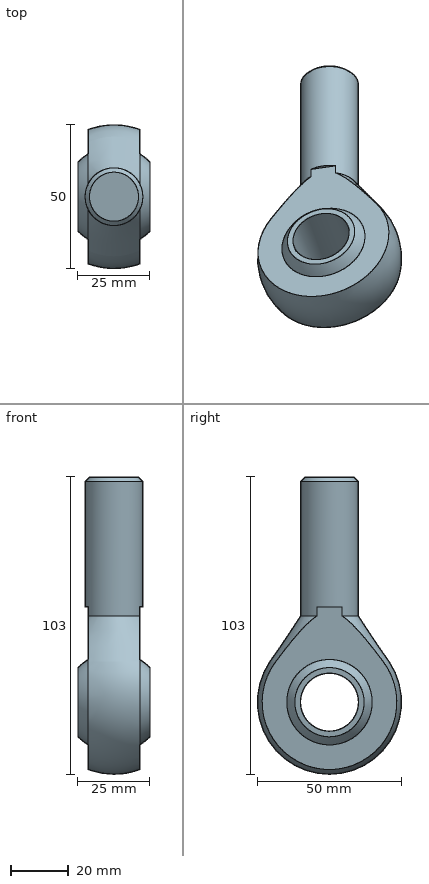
import cadquery as cq
import math

bore_diameter = 20.0
ball_width = 25.0
ball_end_diameter = 24.0
head_radius = 25.0
head_width = 18.0
shank_diameter = 20.0
shank_top = 78.0
shank_chamfer = 1.5
neck_top = 29.9
flat_top = 33.0

bore_radius = bore_diameter / 2
shank_radius = shank_diameter / 2


def revolved_blank():
    """Spherical head, tangent conical neck and chamfered shank as one revolved body."""
    neck_top_distance = math.hypot(shank_radius, neck_top)
    tangent_angle = math.atan2(shank_radius, neck_top) + math.acos(head_radius / neck_top_distance)
    tangent_radius = head_radius * math.sin(tangent_angle)
    tangent_height = head_radius * math.cos(tangent_angle)
    return (
        cq.Workplane("XZ")
        .moveTo(0, -head_radius)
        .threePointArc((head_radius, 0), (tangent_radius, tangent_height))
        .lineTo(shank_radius, neck_top)
        .lineTo(shank_radius, shank_top - shank_chamfer)
        .lineTo(shank_radius - shank_chamfer, shank_top)
        .lineTo(0, shank_top)
        .close()
        .revolve(360, (0, 0, 0), (0, 1, 0))
    )


def side_cutter(side):
    """Block that trims the head to its width on one side (-1 or +1 along X)."""
    cut_depth = head_radius
    cut_height = flat_top + head_radius
    return (
        cq.Workplane("XY")
        .box(cut_depth, 2 * head_radius, cut_height)
        .translate((side * (head_width + cut_depth) / 2, 0, (flat_top - head_radius) / 2))
    )


def head_opening():
    """Through opening along X that clears the bore in the head."""
    return cq.Workplane("YZ").circle(bore_radius).extrude(head_width / 2, both=True)


def bearing_ring():
    """Bored ball with flat ends, wider than the head, revolved around the X axis."""
    half_width = ball_width / 2
    end_radius = ball_end_diameter / 2
    ball_radius = math.hypot(end_radius, half_width)
    return (
        cq.Workplane("XY")
        .moveTo(-half_width, bore_radius)
        .lineTo(-half_width, end_radius)
        .threePointArc((0, ball_radius), (half_width, end_radius))
        .lineTo(half_width, bore_radius)
        .close()
        .revolve(360, (0, 0, 0), (1, 0, 0))
    )


head_and_shank = revolved_blank()
for side in (-1, 1):
    head_and_shank = head_and_shank.cut(side_cutter(side))

result = head_and_shank.cut(head_opening()).union(bearing_ring())